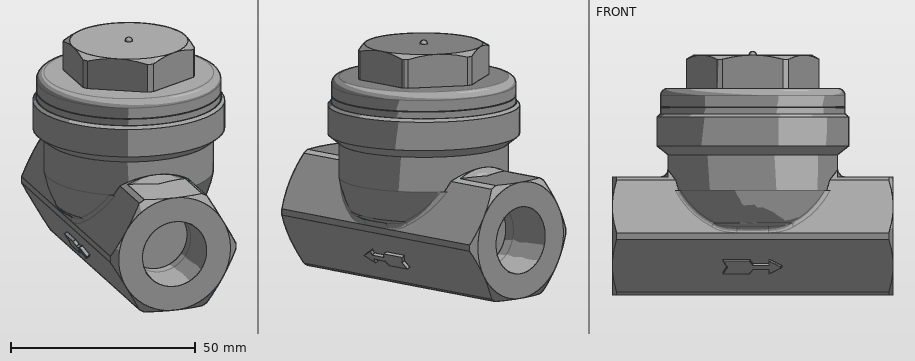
import cadquery as cq
import math

pipe_length = 76.0
across_flats = 32.0
corner_diameter = 36.0
chamfer_angle = 30.0

port_mouth_diameter = 18.4
port_end_diameter = 17.48
port_taper_depth = 12.0
port_depth = 15.0

bowl_bottom_z = 2.6
bowl_edge_round = 1.0
bowl_bottom_radius = 20.0
bowl_top_z = 12.4
bowl_fillet = 1.2
bowl_bulge = 0.4

neck_diameter = 46.0
neck_top_z = 22.0
collar_diameter = 52.0
collar_bottom_z = 24.4
collar_top_z = 33.0
collar_chamfer = 0.8
cap_diameter = 50.0
cap_top_z = 40.0
cap_round = 2.0
seam_diameter = 45.0
seam_top_z = 35.0
seam_width = 0.2
nut_top_z = 49.0
nub_radius = 1.0

saddle_reach = 2.0

arrow_height = 1.0
arrow_root_depth = 0.5
arrow_tail_x = -8.0
arrow_notch_x = -6.9
arrow_shoulder_x = -0.85
arrow_shaft_x = 0.0
arrow_head_x = 4.45
arrow_tip_x = 7.9
arrow_half_width = 2.0
arrow_shaft_half_width = 0.7
arrow_flat_angle = 30.0

flat_distance = across_flats / 2
corner_radius = corner_diameter / 2
neck_radius = neck_diameter / 2
bevel_drop = (corner_radius - flat_distance) * math.tan(math.radians(chamfer_angle))


def hexagon_bar(length, both_ends):
    """Hexagonal bar along +Z from z = 0, flats facing +-X, with turned corners and bevelled ends."""
    hexagon = cq.Workplane("XY").polygon(6, across_flats, circumscribed=True).extrude(length)
    profile = cq.Workplane("XZ").moveTo(0, 0)
    if both_ends:
        profile = profile.lineTo(flat_distance, 0).lineTo(corner_radius, bevel_drop)
    else:
        profile = profile.lineTo(corner_radius, 0)
    profile = profile.lineTo(corner_radius, length - bevel_drop).lineTo(flat_distance, length)
    envelope = profile.lineTo(0, length).close().revolve(360, (0, 0, 0), (0, 1, 0))
    return hexagon.intersect(envelope)


def make_pipe():
    bar = hexagon_bar(pipe_length, True).translate((0, 0, -pipe_length / 2))
    return bar.rotate((0, 0, 0), (0, 1, 0), 90)


def make_bowl():
    wall_bottom_z = bowl_bottom_z + bowl_edge_round
    bulge_point = ((neck_radius + bowl_bottom_radius) / 2 + bowl_bulge, (wall_bottom_z + bowl_top_z) / 2)
    return (
        cq.Workplane("XZ")
        .moveTo(0, bowl_bottom_z)
        .lineTo(bowl_bottom_radius - bowl_edge_round, bowl_bottom_z)
        .radiusArc((bowl_bottom_radius, wall_bottom_z), -bowl_edge_round)
        .threePointArc(bulge_point, (neck_radius, bowl_top_z))
        .lineTo(0, bowl_top_z)
        .close()
        .revolve(360, (0, 0, 0), (0, 1, 0))
    )


def make_neck_and_cap():
    collar_radius = collar_diameter / 2
    cap_radius = cap_diameter / 2
    seam_radius = seam_diameter / 2
    return (
        cq.Workplane("XZ")
        .moveTo(0, bowl_top_z)
        .lineTo(neck_radius, bowl_top_z)
        .lineTo(neck_radius, neck_top_z)
        .lineTo(collar_radius, collar_bottom_z)
        .lineTo(collar_radius, collar_top_z - collar_chamfer)
        .lineTo(collar_radius - collar_chamfer, collar_top_z)
        .lineTo(cap_radius, collar_top_z)
        .lineTo(cap_radius, seam_top_z - seam_width)
        .lineTo(seam_radius, seam_top_z - seam_width)
        .lineTo(seam_radius, seam_top_z)
        .lineTo(cap_radius, seam_top_z)
        .lineTo(cap_radius, cap_top_z - cap_round)
        .radiusArc((cap_radius - cap_round, cap_top_z), -cap_round)
        .lineTo(0, cap_top_z)
        .close()
        .revolve(360, (0, 0, 0), (0, 1, 0))
    )


def make_nut():
    nut = hexagon_bar(nut_top_z - cap_top_z, False).rotate((0, 0, 0), (0, 0, 1), 90)
    nut = nut.translate((0, 0, cap_top_z))
    nub = cq.Workplane("XY").sphere(nub_radius).translate((0, 0, nut_top_z))
    return nut.union(nub)


def make_saddle():
    """Concave blend turned about X, kept to the width of the pipe's top flat."""
    foot_x = neck_radius + saddle_reach
    turned = (
        cq.Workplane("XY")
        .moveTo(-foot_x, 0)
        .lineTo(-foot_x, flat_distance)
        .radiusArc((-neck_radius, corner_radius), -saddle_reach)
        .lineTo(neck_radius, corner_radius)
        .radiusArc((foot_x, flat_distance), -saddle_reach)
        .lineTo(foot_x, 0)
        .close()
        .revolve(360, (0, 0, 0), (1, 0, 0))
    )
    flat_width = 2 * math.sqrt(corner_radius**2 - flat_distance**2)
    window = cq.Workplane("XY").box(2 * foot_x, flat_width, corner_radius, centered=(True, True, False))
    return turned.intersect(window)


def make_port():
    """Tapered port entering from the -X end."""
    end_x = -pipe_length / 2
    return (
        cq.Workplane("XY")
        .moveTo(end_x, 0)
        .lineTo(end_x, port_mouth_diameter / 2)
        .lineTo(end_x + port_taper_depth, port_end_diameter / 2)
        .lineTo(end_x + port_depth, port_end_diameter / 2)
        .lineTo(end_x + port_depth, 0)
        .close()
        .revolve(360, (0, 0, 0), (1, 0, 0))
    )


def make_arrow():
    """Raised arrow pointing to +X on the lower flat of the -Y side."""
    outline = [
        (arrow_tail_x, arrow_half_width),
        (arrow_shoulder_x, arrow_half_width),
        (arrow_shaft_x, arrow_shaft_half_width),
        (arrow_head_x, arrow_shaft_half_width),
        (arrow_head_x, arrow_half_width),
        (arrow_tip_x, 0),
        (arrow_head_x, -arrow_half_width),
        (arrow_head_x, -arrow_shaft_half_width),
        (arrow_shaft_x, -arrow_shaft_half_width),
        (arrow_shoulder_x, -arrow_half_width),
        (arrow_tail_x, -arrow_half_width),
        (arrow_notch_x, 0),
    ]
    arrow = (
        cq.Workplane("XZ", origin=(0, arrow_root_depth - flat_distance, 0))
        .polyline(outline)
        .close()
        .extrude(arrow_height + arrow_root_depth)
    )
    return arrow.rotate((0, 0, 0), (1, 0, 0), arrow_flat_angle)


def fillet_bowl(body):
    """Round the edges where the bowl runs into the pipe's side flats."""
    half_width = corner_radius - bowl_edge_round
    half_length = bowl_bottom_radius
    beside_bowl = cq.selectors.BoxSelector(
        (-half_length, -half_width, 0),
        (half_length, half_width, bowl_top_z - bowl_fillet),
    )
    return body.edges(beside_bowl).fillet(bowl_fillet)


body = fillet_bowl(make_pipe().union(make_bowl()))
result = body.union(make_neck_and_cap()).union(make_nut()).union(make_saddle())
for port in (make_port(), make_port().mirror("YZ")):
    result = result.cut(port)
for arrow in (make_arrow(), make_arrow().mirror("XZ")):
    result = result.union(arrow)